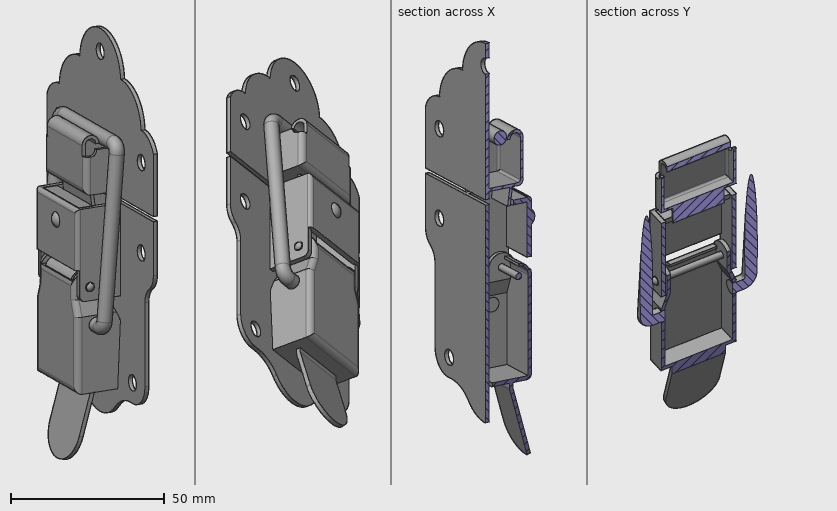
import cadquery as cq
import math


plate_thickness = 1.5
plate_half_width = 37.0
plate_gap = 1.75
box_half_width = 14.3
mount_hole_dia = 5.4
upper_hole_x = 28.5
tongue_half_width = 10.2

plate_top = 55.6
lobe_radius = 14.25
lobe_pitch = 13.4
lobe_half_width = math.sqrt(lobe_radius**2 - (lobe_radius - lobe_pitch)**2)
shoulder_radius = 9.2
strike_hole_z = 17.8
top_hole_z = plate_top - 7.9

strike_wall = 1.2
strike_bottom = 4.3
strike_top = 19.5
strike_front = -14.5
strike_fillet = 2.0
curl_radius = 3.1
curl_half_width = 12.1
curl_y = strike_front + curl_radius
curl_z = 20.8
notch_depth = 2.2
notch_radius = 2.0
notch_back = -10.4
tab_half_width = 9.8
tab_front = -10.6
tab_lean = 1.0
tab_bottom = -2.0

flank_end_z = -18.4
narrow_half_width = 31.1
narrow_start_z = -29.3
corner_radius = 8.1
plate_foot_z = -66.0
plate_bottom = -75.0
foot_radius = 14.3
latch_hole_z = -13.0
lower_hole_x = 22.4
lower_hole_z = -59.0

housing_wall = 1.8
housing_front = -17.7
housing_fillet = 1.5
top_flap_back = -10.6
top_flap_drop = 0.2
housing_bottom = -31.6
window_top = -20.9
ear_front = -16.6
ear_radius = 2.0
button_radius = 2.6
button_height = 1.3
button_z = -7.2

pin_y = -12.8
pin_z = -26.9
pin_radius = 1.2
pin_head_radius = 1.6
pin_head_height = 1.2

lever_wall = 1.5
lever_front = housing_front
lever_fillet = 2.0
lever_neck_half_width = 12.2
lever_neck_z = -31.4
lever_wide_z = -36.8
lever_bottom = -63.1
lever_heel_y = -1.6
lever_heel_z = -39.8
lever_bottom_y = -2.6
barrel_radius = pin_y - lever_front
barrel_half_width = 8.9
barrel_slot_z = -25.3
barrel_recess = 0.5
tongue_back = -9.1
tongue_bend_z = lever_bottom - 1.6
tongue_angle = 15.8
tongue_length = 24.73

wire_radius = 2.5
bail_half_width = 19.9
bail_bend_radius = 2.8
bail_top_y = -5.7
bail_top_z = strike_top + wire_radius
bail_bottom_y = -10.6
bail_bottom_z = -40.0


def block(half_width, y_back, y_front, z_low, z_high):
    """Box centred on X between the given Y and Z limits."""
    return (cq.Workplane("XY")
            .box(2 * half_width, y_back - y_front, z_high - z_low)
            .translate((0, (y_back + y_front) / 2, (z_low + z_high) / 2)))


def rod(x_start, x_end, y, z, radius):
    """Cylinder along X."""
    return cq.Workplane("YZ", origin=(x_start, y, z)).circle(radius).extrude(x_end - x_start)


def dome(base_radius, height):
    """Spherical cap on the XY plane that bulges towards +Z."""
    rise = height / 2
    ball_radius = (base_radius**2 + height**2) / (2 * height)
    mid_radius = math.sqrt(ball_radius**2 - (ball_radius - rise)**2)
    return (cq.Workplane("XZ")
            .moveTo(0, 0)
            .lineTo(base_radius, 0)
            .threePointArc((mid_radius, rise), (0, height))
            .close()
            .revolve(360, (0, 0, 0), (0, 1, 0)))


def drill_plate(plate, points):
    """Mounting holes through a plate."""
    holes = cq.Workplane("XZ").pushPoints(points).circle(mount_hole_dia / 2).extrude(plate_thickness)
    return plate.cut(holes)


def make_strike_plate():
    """Scalloped plate: a top lobe, then a quarter lobe and a shoulder on each side."""
    outline = cq.Workplane("XZ").moveTo(0, plate_top)
    diagonal = lobe_radius * math.sqrt(0.5)
    for step in range(2):
        x = step * lobe_half_width
        z = plate_top - step * lobe_pitch
        outline = outline.threePointArc((x + diagonal, z - lobe_radius + diagonal),
                                        (x + lobe_half_width, z - lobe_pitch))
    shoulder_x = 2 * lobe_half_width
    shoulder_z = plate_top - 2 * lobe_pitch
    run = plate_half_width - shoulder_x
    half_angle = math.asin(run / shoulder_radius) / 2
    outline = (outline
               .threePointArc((shoulder_x + shoulder_radius * math.sin(half_angle),
                               shoulder_z - shoulder_radius * (1 - math.cos(half_angle))),
                              (plate_half_width,
                               shoulder_z - shoulder_radius * (1 - math.cos(2 * half_angle))))
               .lineTo(plate_half_width, plate_gap)
               .lineTo(0, plate_gap))
    plate = outline.mirrorY().extrude(plate_thickness)
    return drill_plate(plate, [(0, top_hole_z),
                               (upper_hole_x, strike_hole_z),
                               (-upper_hole_x, strike_hole_z)])


def make_strike_box():
    """Hollow box, open at the top, with a notch at the top of each front corner."""
    notch_bottom = strike_top - notch_depth
    box = block(box_half_width, -plate_thickness, strike_front, strike_bottom, curl_z)
    box = box.faces("<Y").edges("|Z or <Z").fillet(strike_fillet)
    cavity = block(box_half_width - strike_wall, -plate_thickness, strike_front + strike_wall,
                   strike_bottom + strike_wall, curl_z)
    cavity = cavity.faces("<Y").edges("|Z or <Z").fillet(strike_fillet - strike_wall)
    box = box.cut(cavity)
    above_sides = block(box_half_width, -plate_thickness, strike_front + strike_wall, strike_top, curl_z)
    notch = block(box_half_width, notch_back, strike_front, notch_bottom, curl_z)
    notch = notch.edges("|X and <Z and >Y").fillet(notch_radius)
    front_sheet = block(curl_half_width, strike_front + strike_wall, strike_front, notch_bottom, curl_z)
    return box.cut(above_sides).cut(notch.cut(front_sheet))


def make_strike_curl():
    """Half roll that carries the front wall over to the back."""
    inner_radius = curl_radius - strike_wall
    return (cq.Workplane("YZ", origin=(-curl_half_width, curl_y, curl_z))
            .moveTo(-curl_radius, 0)
            .threePointArc((0, curl_radius), (curl_radius, 0))
            .lineTo(inner_radius, 0)
            .threePointArc((0, inner_radius), (-inner_radius, 0))
            .close()
            .extrude(2 * curl_half_width))


def make_strike_tab():
    """Leaning tab that hangs from the strike box into the open top of the housing."""
    tab_top = strike_bottom + strike_wall
    return (cq.Workplane("YZ", origin=(-tab_half_width, 0, 0))
            .polyline([(tab_front, tab_top),
                       (tab_front + tab_lean, tab_bottom),
                       (tab_front + tab_lean + strike_wall, tab_bottom),
                       (tab_front + strike_wall, tab_top)])
            .close()
            .extrude(2 * tab_half_width))


def make_strike():
    strike = make_strike_plate().union(make_strike_box())
    return strike.union(make_strike_curl()).union(make_strike_tab())


def make_latch_plate():
    """Plate that narrows in an S-curve and ends in a round foot."""
    flank_mid = ((plate_half_width + narrow_half_width) / 2, (flank_end_z + narrow_start_z) / 2)
    corner_x = narrow_half_width - corner_radius
    corner_z = plate_foot_z + corner_radius
    corner_diagonal = corner_radius * math.sqrt(0.5)
    foot_z = plate_bottom + foot_radius
    valley_z = plate_foot_z - foot_radius
    valley_x = math.sqrt((2 * foot_radius)**2 - (foot_z - valley_z)**2)
    plate = (cq.Workplane("XZ")
             .moveTo(0, 0)
             .lineTo(plate_half_width, 0)
             .lineTo(plate_half_width, flank_end_z)
             .tangentArcPoint(flank_mid, relative=False)
             .tangentArcPoint((narrow_half_width, narrow_start_z), relative=False)
             .lineTo(narrow_half_width, corner_z)
             .threePointArc((corner_x + corner_diagonal, corner_z - corner_diagonal),
                            (corner_x, plate_foot_z))
             .lineTo(valley_x, plate_foot_z)
             .tangentArcPoint((valley_x / 2, (foot_z + valley_z) / 2), relative=False)
             .tangentArcPoint((0, plate_bottom), relative=False)
             .mirrorY()
             .extrude(plate_thickness))
    return drill_plate(plate, [(side * x, z)
                               for side in (-1, 1)
                               for x, z in ((upper_hole_x, latch_hole_z), (lower_hole_x, lower_hole_z))])


def make_housing():
    """Cover that is open at the bottom, with a top flap and two ears that hold the hinge pin."""
    cover = block(box_half_width, -plate_thickness, housing_front, housing_bottom, 0)
    cover = cover.faces("<Y").edges("|Z or >Z").fillet(housing_fillet)
    cavity = block(box_half_width - housing_wall, -plate_thickness, housing_front + housing_wall,
                   housing_bottom, 0)
    top_flap = block(box_half_width - housing_wall, top_flap_back, housing_front + housing_wall,
                     -top_flap_drop - housing_wall, -top_flap_drop)
    window = block(box_half_width - housing_wall, -plate_thickness, housing_front,
                   housing_bottom, window_top)
    ear_trim = block(box_half_width, ear_front, housing_front, housing_bottom, window_top)
    cover = cover.cut(cavity).cut(window).cut(ear_trim)
    ear_corners = cq.selectors.BoxSelector(
        (-box_half_width, ear_front - ear_radius / 2, housing_bottom - ear_radius / 2),
        (box_half_width, ear_front + ear_radius / 2, housing_bottom + ear_radius / 2))
    cover = cover.edges("|X").edges(ear_corners).fillet(ear_radius)
    button = (dome(button_radius, button_height)
              .rotate((0, 0, 0), (1, 0, 0), 90)
              .translate((0, housing_front, button_z)))
    return cover.union(top_flap).union(button)


def make_latch_base():
    base = make_latch_plate().union(make_housing())
    return base.cut(rod(-box_half_width, box_half_width, pin_y, pin_z, pin_radius))


def lever_plan(inset, depth):
    """Bottle-shaped front outline of the lever, moved inwards by a wall thickness."""
    neck = lever_neck_half_width - inset
    wide = box_half_width - inset
    return (cq.Workplane("XZ")
            .moveTo(0, 0)
            .lineTo(neck, 0)
            .lineTo(neck, lever_neck_z)
            .lineTo(wide, lever_wide_z)
            .lineTo(wide, lever_bottom + inset)
            .lineTo(0, lever_bottom + inset)
            .mirrorY()
            .extrude(depth))


def lever_shell():
    """Lever tray, open at the back and rolled over the pin at its top."""
    side_profile = (cq.Workplane("YZ", origin=(-box_half_width, 0, 0))
                    .moveTo(lever_front, lever_bottom)
                    .lineTo(lever_front, pin_z)
                    .threePointArc((pin_y, pin_z + barrel_radius), (pin_y + barrel_radius, pin_z))
                    .lineTo(lever_heel_y, lever_heel_z)
                    .lineTo(lever_bottom_y, lever_bottom)
                    .close()
                    .extrude(2 * box_half_width))
    body = lever_plan(0, -lever_front)
    body = body.faces("<Y").edges("not >Z").fillet(lever_fillet)
    body = body.intersect(side_profile)

    inner_radius = barrel_radius - lever_wall
    inner_diagonal = inner_radius * math.sqrt(0.5)
    cavity_profile = (cq.Workplane("YZ", origin=(-box_half_width, 0, 0))
                      .moveTo(lever_front + lever_wall, lever_bottom)
                      .lineTo(lever_front + lever_wall, pin_z)
                      .threePointArc((pin_y - inner_diagonal, pin_z + inner_diagonal),
                                     (pin_y, pin_z + inner_radius))
                      .lineTo(pin_y, 0)
                      .lineTo(0, 0)
                      .lineTo(0, lever_bottom)
                      .close()
                      .extrude(2 * box_half_width))
    cavity = lever_plan(lever_wall, -lever_front).intersect(cavity_profile)
    return body.cut(cavity)


def barrel_relief():
    """Space above the roll's ledge that leaves a narrower, stepped-in barrel between the side walls."""
    ear_inside = lever_neck_half_width - lever_wall
    space = block(ear_inside, 0, lever_front, barrel_slot_z, 0)
    barrel = rod(-barrel_half_width, barrel_half_width, pin_y, pin_z, barrel_radius - barrel_recess)
    return space.cut(barrel)


def make_tongue():
    """Finger tongue: a short root below the lever, then a round-ended blade bent outwards."""
    tongue_front = tongue_back - lever_wall
    root = block(tongue_half_width, tongue_back, tongue_front, tongue_bend_z, lever_bottom + lever_wall)
    straight = tongue_length - tongue_half_width
    blade = (cq.Workplane("XZ")
             .moveTo(-tongue_half_width, 0)
             .lineTo(-tongue_half_width, -straight)
             .threePointArc((0, -tongue_length), (tongue_half_width, -straight))
             .lineTo(tongue_half_width, 0)
             .close()
             .extrude(lever_wall)
             .translate((0, lever_wall, 0))
             .rotate((0, 0, 0), (1, 0, 0), -tongue_angle)
             .translate((0, tongue_front, tongue_bend_z)))
    bend = (rod(-tongue_half_width, tongue_half_width, tongue_front, tongue_bend_z, lever_wall)
            .intersect(block(tongue_half_width, tongue_back, tongue_front,
                             tongue_bend_z - lever_wall, tongue_bend_z)))
    return root.union(bend).union(blade)


def make_lever():
    lever = lever_shell().cut(barrel_relief()).union(make_tongue())
    lever = lever.cut(rod(-box_half_width, box_half_width, pin_y, pin_z, pin_radius))
    return lever.cut(rod(-box_half_width, box_half_width, bail_bottom_y, bail_bottom_z, wire_radius))


def make_bail():
    """Round wire loop whose two ends turn into the lever's side walls."""
    drop_y = bail_bottom_y - bail_top_y
    drop_z = bail_bottom_z - bail_top_z
    length = math.hypot(drop_y, drop_z)
    end_x = box_half_width - lever_wall
    bend_x = bail_half_width - bail_bend_radius
    plane = cq.Plane(origin=(0, bail_top_y, bail_top_z), xDir=(1, 0, 0),
                     normal=(0, drop_z / length, -drop_y / length))
    path = (cq.Workplane(plane)
            .moveTo(-end_x, -length)
            .lineTo(-bend_x, -length)
            .tangentArcPoint((-bail_half_width, bail_bend_radius - length), relative=False)
            .lineTo(-bail_half_width, -bail_bend_radius)
            .tangentArcPoint((-bend_x, 0), relative=False)
            .lineTo(bend_x, 0)
            .tangentArcPoint((bail_half_width, -bail_bend_radius), relative=False)
            .lineTo(bail_half_width, bail_bend_radius - length)
            .tangentArcPoint((bend_x, -length), relative=False)
            .lineTo(end_x, -length))
    wire_end = cq.Workplane("YZ", origin=(-end_x, bail_bottom_y, bail_bottom_z)).circle(wire_radius)
    return wire_end.sweep(path)


def make_pin():
    """Hinge pin with a domed head outside each housing ear."""
    pin = rod(-box_half_width, box_half_width, pin_y, pin_z, pin_radius)
    for side in (-1, 1):
        head = (dome(pin_head_radius, pin_head_height)
                .rotate((0, 0, 0), (0, 1, 0), side * 90)
                .translate((side * box_half_width, pin_y, pin_z)))
        pin = pin.union(head)
    return pin


strike = make_strike()
latch_base = make_latch_base()
lever = make_lever()
bail = make_bail()
pin = make_pin()

result = cq.Compound.makeCompound([
    strike.solids().val(),
    latch_base.solids().val(),
    lever.solids().val(),
    bail.solids().val(),
    pin.solids().val(),
])